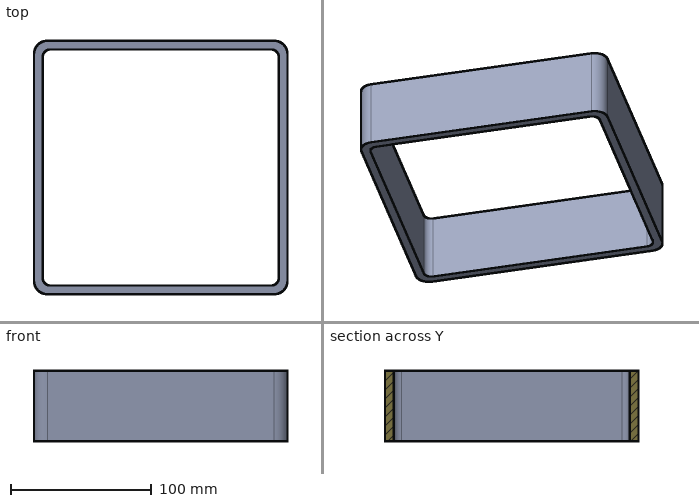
import cadquery as cq

side = 180.0
height = 50.0
wall = 6.3
outer_radius = 9.5
inner_radius = 5.4


def rounded_block(width, corner_radius):
    """Square block standing on Z = 0 with rounded vertical edges."""
    block = cq.Workplane("XY").rect(width, width).extrude(height)
    return block.edges("|Z").fillet(corner_radius)


opening = rounded_block(side - 2 * wall, inner_radius)
result = rounded_block(side, outer_radius).cut(opening)